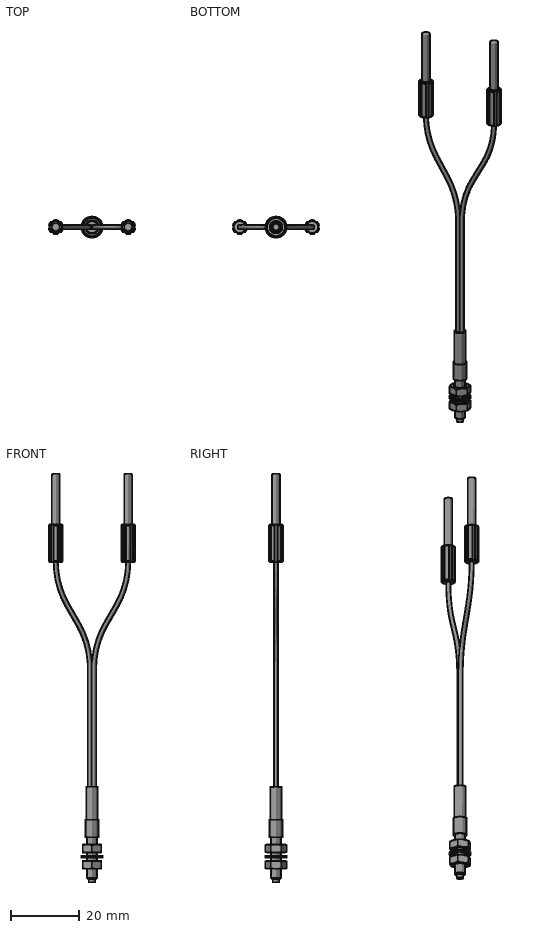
import cadquery as cq
import math

total_height = 119.9

lens_diameter = 1.9
lens_length = 1.0
thread_diameter = 3.0
thread_chamfer = 0.4
thread_top = 13.3
collar_diameter = 4.0
collar_length = 5.0
sleeve_diameter = 3.5
sleeve_length = 9.7

nut_width = 5.5
nut_height = 2.4
nut_chamfer_height = 0.2
nut_face_diameter = 5.3
nut_countersink_depth = 0.4
nut_bottoms = (4.0, 8.8)
washer_diameter = 6.2
washer_thickness = 0.5
washer_bottom = 7.3
washer_clearance = 0.1
washer_slot_count = 8
washer_slot_width = 0.7
washer_slot_circle = 5.0

fibre_diameter = 1.3
fibre_spacing = 1.2
fork_start = 62.9
fork_angle = 30.0

branch_spacing = 21.2
tip_diameter = 2.4
tip_length = 14.9
tip_rounding = 0.5
grip_diameter = 4.2
grip_length = 11.0
grip_chamfer = 0.4
flute_count = 6
flute_width = 1.1
flute_floor_width = 0.6
flute_depth = 0.2
flute_overcut = 0.4

sleeve_bottom = thread_top + collar_length
sleeve_top = sleeve_bottom + sleeve_length
grip_top = total_height - tip_length
grip_bottom = grip_top - grip_length
fibre_x = fibre_spacing / 2
branch_x = branch_spacing / 2

BOTH_SIDES = (-1, 1)


def cylinder(diameter, bottom, height, x=0.0):
    return cq.Workplane("XY", origin=(x, 0, bottom)).circle(diameter / 2).extrude(height)


def chamfered_cylinder(diameter, bottom, height, chamfer_height, chamfer_width):
    """Cylinder on the Z axis with the same conical chamfer at both ends."""
    radius = diameter / 2
    face_radius = radius - chamfer_width
    top = bottom + height
    half_section = [
        (0, bottom),
        (face_radius, bottom),
        (radius, bottom + chamfer_height),
        (radius, top - chamfer_height),
        (face_radius, top),
        (0, top),
    ]
    return cq.Workplane("XZ").polyline(half_section).close().revolve(360, (0, 0, 0), (0, 1, 0))


def make_nut(bottom):
    """Hexagon nut with two corners along Y, conically chamfered corners and a countersunk bore."""
    corner_diameter = nut_width / math.cos(math.pi / 6)
    hexagon = (
        cq.Workplane("XY", origin=(0, 0, bottom))
        .polygon(6, corner_diameter)
        .extrude(nut_height)
        .rotate((0, 0, 0), (0, 0, 1), 30)
    )
    chamfer_width = (corner_diameter - nut_face_diameter) / 2
    chamfered_round = chamfered_cylinder(
        corner_diameter, bottom, nut_height, nut_chamfer_height, chamfer_width
    )
    bore = cylinder(thread_diameter, bottom, nut_height)
    nut = hexagon.intersect(chamfered_round).cut(bore)
    return nut.edges(cq.selectors.RadiusNthSelector(0)).chamfer(nut_countersink_depth)


def make_head():
    """Lens tip, thread, collar and sleeve with both nuts on the thread."""
    head = cylinder(lens_diameter, 0, lens_length)
    thread = cylinder(thread_diameter, lens_length, thread_top - lens_length)
    head = head.union(thread.faces("<Z").chamfer(thread_chamfer))
    head = head.union(cylinder(collar_diameter, thread_top, collar_length))
    head = head.union(cylinder(sleeve_diameter, sleeve_bottom, sleeve_length))
    for bottom in nut_bottoms:
        head = head.union(make_nut(bottom))
    return head


def make_fibre(side):
    """Swept fibre: straight run out of the sleeve, bend outward, slanted run and bend back to vertical."""
    angle = math.radians(fork_angle)
    rise = grip_bottom - fork_start
    spread = branch_x - fibre_x
    bend_radius = (rise - spread / math.tan(angle)) / (
        2 * math.sin(angle) - 2 * (1 - math.cos(angle)) / math.tan(angle)
    )

    def bend_offset(turn):
        return bend_radius * (1 - math.cos(turn)), bend_radius * math.sin(turn)

    mid_x, mid_z = bend_offset(angle / 2)
    end_x, end_z = bend_offset(angle)
    path = (
        cq.Workplane("XZ")
        .moveTo(side * fibre_x, sleeve_top)
        .lineTo(side * fibre_x, fork_start)
        .threePointArc(
            (side * (fibre_x + mid_x), fork_start + mid_z),
            (side * (fibre_x + end_x), fork_start + end_z),
        )
        .lineTo(side * (branch_x - end_x), grip_bottom - end_z)
        .threePointArc(
            (side * (branch_x - mid_x), grip_bottom - mid_z),
            (side * branch_x, grip_bottom),
        )
    )
    foot = cq.Workplane("XY", origin=(side * fibre_x, 0, sleeve_top))
    return foot.circle(fibre_diameter / 2).sweep(path)


def make_grip(side):
    """Chamfered barrel with trapezoidal flutes all round; two ribs lie on Y and two flutes on X."""
    grip = cylinder(grip_diameter, grip_bottom, grip_length).edges().chamfer(grip_chamfer)
    mouth_radius = grip_diameter / 2
    floor_radius = mouth_radius - flute_depth
    outer_radius = mouth_radius + flute_overcut
    flute_section = [
        (outer_radius, flute_width / 2),
        (mouth_radius, flute_width / 2),
        (floor_radius, flute_floor_width / 2),
        (floor_radius, -flute_floor_width / 2),
        (mouth_radius, -flute_width / 2),
        (outer_radius, -flute_width / 2),
    ]
    flute_plane = cq.Workplane("XY", origin=(0, 0, grip_bottom))
    flute = flute_plane.polyline(flute_section).close().extrude(grip_length)
    for index in range(flute_count):
        grip = grip.cut(flute.rotate((0, 0, 0), (0, 0, 1), index * 360 / flute_count))
    return grip.translate((side * branch_x, 0, 0))


def make_branch_end(side):
    """Fluted grip and smooth tip at the end of one branch."""
    x = side * branch_x
    tip = cylinder(tip_diameter, grip_top, tip_length, x).faces(">Z").edges().fillet(tip_rounding)
    return make_grip(side).union(tip)


def make_fibre_unit():
    """Whole fibre unit: head, paired fibres and two forked branches as one solid."""
    unit = make_head()
    for side in BOTH_SIDES:
        unit = unit.union(make_fibre(side))
        unit = unit.union(make_branch_end(side))
    return unit


def make_washer():
    """Loose internal-tooth washer between the nuts; slots round the bore leave the teeth."""
    hole_diameter = thread_diameter + 2 * washer_clearance
    disc = cylinder(washer_diameter, washer_bottom, washer_thickness)
    bore = cylinder(hole_diameter, washer_bottom, washer_thickness)
    slot_length = washer_slot_circle / 2
    first_slot_angle = 180 / washer_slot_count
    slots = (
        cq.Workplane("XY", origin=(0, 0, washer_bottom))
        .polarArray(slot_length / 2, first_slot_angle, 360, washer_slot_count)
        .rect(slot_length, washer_slot_width)
        .extrude(washer_thickness)
    )
    return disc.cut(bore).cut(slots)


fibre_unit = make_fibre_unit()
washer = make_washer()

result = cq.Compound.makeCompound([fibre_unit.val(), washer.val()])